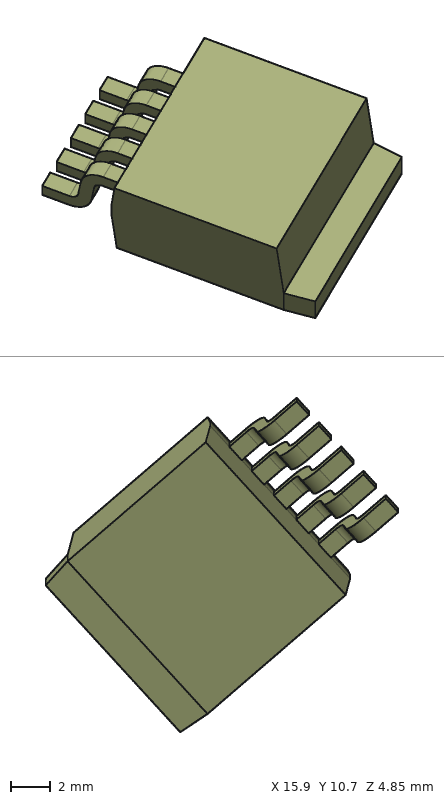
import cadquery as cq
import math


total_length = 15.88
package_width = 10.67
package_height = 4.85

lead_count = 5
lead_pitch = 1.7
lead_width = 0.95
lead_thickness = 0.75
lead_top = 3.33
foot_length = 1.51
inner_bend_radius = 0.51
outer_bend_radius = inner_bend_radius + lead_thickness
shank_lean = 8.0

tab_length = 1.67
tab_height = 1.38
tab_side_inset = 0.2

housing_front = 4.55
housing_back = total_length - tab_length
band_bottom = lead_top - lead_thickness
front_top_inset = 0.17
front_bottom_inset = 0.3
back_top_inset = 0.4


def make_housing():
    """Moulded block with sloped front and back faces, extruded across the width."""
    profile = [
        (housing_front + front_bottom_inset, 0),
        (housing_back, 0),
        (housing_back, tab_height),
        (housing_back - back_top_inset, package_height),
        (housing_front + front_top_inset, package_height),
        (housing_front, lead_top),
        (housing_front, band_bottom),
    ]
    return cq.Workplane("XZ").polyline(profile).close().extrude(package_width / 2, both=True)


def make_tab():
    """Plate against the back face, tapering slightly towards its free end."""
    root_half_width = package_width / 2
    end_half_width = root_half_width - tab_side_inset
    outline = [
        (housing_back, -root_half_width),
        (total_length, -end_half_width),
        (total_length, end_half_width),
        (housing_back, root_half_width),
    ]
    return cq.Workplane("XY").polyline(outline).close().extrude(tab_height)


def point_on_bend(center, radius, degrees):
    """Point at the given angle on a bend, measured from +X towards +Z."""
    angle = math.radians(degrees)
    return (center[0] + radius * math.cos(angle), center[1] + radius * math.sin(angle))


def make_lead(y_center):
    """Gull-wing strip: foot, lower bend, leaning shank, upper bend, then level into the housing."""
    lean = math.radians(shank_lean)
    lower_center = (foot_length, outer_bend_radius)
    center_rise = lead_top - 2 * outer_bend_radius
    center_run = (outer_bend_radius + inner_bend_radius + center_rise * math.sin(lean)) / math.cos(lean)
    upper_center = (lower_center[0] + center_run, lower_center[1] + center_rise)

    lower_start, lower_end = -90, -shank_lean
    lower_middle = (lower_start + lower_end) / 2
    upper_start, upper_end = 180 - shank_lean, 90
    upper_middle = (upper_start + upper_end) / 2

    profile = (
        cq.Workplane("XZ", origin=(0, y_center, 0))
        .moveTo(0, 0)
        .lineTo(foot_length, 0)
        .threePointArc(
            point_on_bend(lower_center, outer_bend_radius, lower_middle),
            point_on_bend(lower_center, outer_bend_radius, lower_end),
        )
        .lineTo(*point_on_bend(upper_center, inner_bend_radius, upper_start))
        .threePointArc(
            point_on_bend(upper_center, inner_bend_radius, upper_middle),
            point_on_bend(upper_center, inner_bend_radius, upper_end),
        )
        .lineTo(housing_front, band_bottom)
        .lineTo(housing_front, lead_top)
        .lineTo(upper_center[0], lead_top)
        .threePointArc(
            point_on_bend(upper_center, outer_bend_radius, upper_middle),
            point_on_bend(upper_center, outer_bend_radius, upper_start),
        )
        .lineTo(*point_on_bend(lower_center, inner_bend_radius, lower_end))
        .threePointArc(
            point_on_bend(lower_center, inner_bend_radius, lower_middle),
            point_on_bend(lower_center, inner_bend_radius, lower_start),
        )
        .lineTo(0, lead_thickness)
        .close()
    )
    return profile.extrude(lead_width / 2, both=True)


housing = make_housing()
tab = make_tab()

leads = []
for index in range(lead_count):
    lead_y = (index - (lead_count - 1) / 2) * lead_pitch
    leads.append(make_lead(lead_y))

result = cq.Compound.makeCompound([housing.val(), tab.val(), *[lead.val() for lead in leads]])